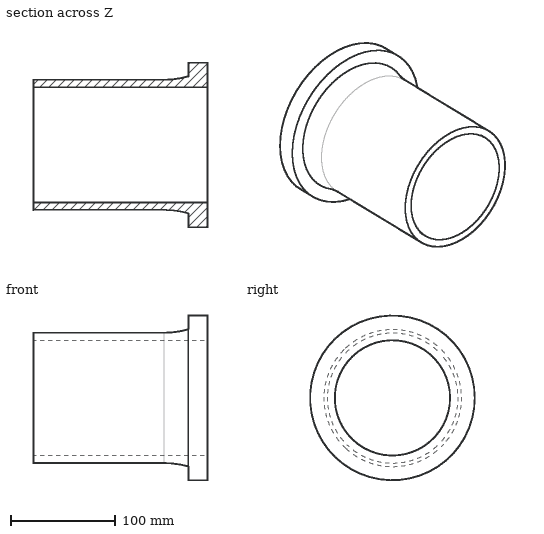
import cadquery as cq
import math

total_length = 167.0
bore_radius = 110.2 / 2
pipe_radius = 125.0 / 2
flange_radius = 158.0 / 2
flange_thickness = 18.4

neck_length = 23.5
neck_end_radius = 131.8 / 2

flange_start = total_length - flange_thickness
neck_start = flange_start - neck_length

neck_rise = neck_end_radius - pipe_radius
arc_radius = (neck_length**2 + neck_rise**2) / (2 * neck_rise)
half_angle = math.asin(neck_length / arc_radius) / 2
neck_middle = (
    neck_start + arc_radius * math.sin(half_angle),
    pipe_radius + arc_radius * (1 - math.cos(half_angle)),
)

half_section = (
    cq.Workplane("XY")
    .moveTo(0, bore_radius)
    .lineTo(0, pipe_radius)
    .lineTo(neck_start, pipe_radius)
    .threePointArc(neck_middle, (flange_start, neck_end_radius))
    .lineTo(flange_start, flange_radius)
    .lineTo(total_length, flange_radius)
    .lineTo(total_length, bore_radius)
    .close()
)
result = half_section.revolve(360, (0, 0, 0), (1, 0, 0))